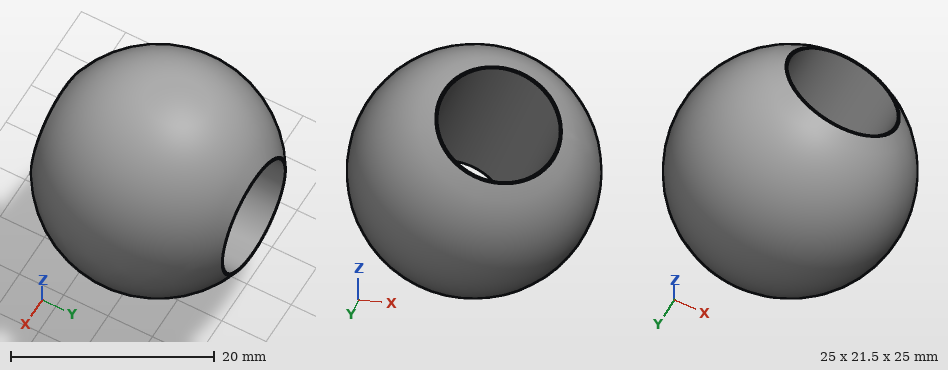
import cadquery as cq
import math

ball_diameter = 25.0
width_across_flats = 21.52
bore_diameter = 12.3

ball_radius = ball_diameter / 2
bore_radius = bore_diameter / 2
flat_y = width_across_flats / 2
flat_radius = math.sqrt(ball_radius**2 - flat_y**2)

half_section = (
    cq.Workplane("XY")
    .moveTo(bore_radius, -flat_y)
    .lineTo(flat_radius, -flat_y)
    .threePointArc((ball_radius, 0), (flat_radius, flat_y))
    .lineTo(bore_radius, flat_y)
    .close()
)

result = half_section.revolve(360, (0, 0, 0), (0, 1, 0))